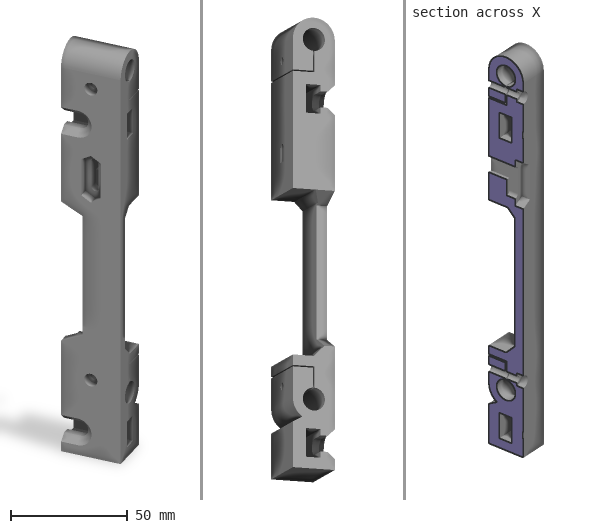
import cadquery as cq
import math

WIDTH = 28.0
DEPTH = 19.0
HEIGHT = 196.84
MID_X = WIDTH / 2
MID_Y = DEPTH / 2
EYE_RADIUS = DEPTH / 2

BORE_DIAMETER = 10.0
UPPER_BORE_Z = HEIGHT - EYE_RADIUS
BORE_SPACING = 157.0
LOWER_BORE_Z = UPPER_BORE_Z - BORE_SPACING
SLIT_WIDTH = 0.6
SLIT_OFFSET = 14.0
SCREW_OFFSET = 7.5
SCREW_DIAMETER = 3.4
HEAD_DIAMETER = 6.1
HEAD_DEPTH = 3.5

RELIEF_ANGLE = math.radians(57)
RELIEF_BOTTOM_Z = 20.0

WEB_THICKNESS = DEPTH / 4
LOWER_CHAMFER = MID_Y - WEB_THICKNESS
UPPER_CHAMFER = 3.9
BACK_CUT_BOTTOM_Z = 49.2
BACK_CUT_TOP_Z = 121.84
SIDE_CUT_DEPTH = 10.0
SIDE_CUT_BOTTOM_Z = BACK_CUT_BOTTOM_Z + LOWER_CHAMFER
SIDE_CUT_TOP_Z = BACK_CUT_TOP_Z
SIDE_CUT_RISE = 4.75

MOUNT_LOWER_Z = 11.2
MOUNT_SPACING = 150.2
MOUNT_X = 7.8
MOUNT_SLOT_WIDTH = 7.0
MOUNT_FLARE_WIDTH = 13.0
MOUNT_FLARE_DEPTH = 3.25
CHANNEL_FRONT_Y = 6.4
CHANNEL_BACK_Y = 13.0
CHANNEL_HEIGHT = 12.5

NUT_WIDTH = 9.0
NUT_CORNER_RADIUS = NUT_WIDTH / math.sqrt(3)
NUT_CENTER_Z = 135.84
NUT_TRAVEL = 12.4
NUT_UPPER_Z = NUT_CENTER_Z + NUT_TRAVEL / 2
NUT_LOWER_Z = NUT_CENTER_Z - NUT_TRAVEL / 2
NUT_DEPTH = 4.4
ADJUST_WIDTH = 3.4
ADJUST_DEPTH = 9.0


def box(x_range, y_range, z_range):
    size = [high - low for low, high in (x_range, y_range, z_range)]
    corner = (x_range[0], y_range[0], z_range[0])
    return cq.Workplane("XY").box(*size, centered=False).translate(corner)


def cylinder_along_y(x, z, diameter, depth):
    """Cylinder entering the part from the front face."""
    return cq.Workplane("XZ").center(x, z).circle(diameter / 2).extrude(-depth)


def body():
    """Side outline in YZ: round eye on top, relief groove and waist on the back."""
    relief_y = MID_Y + EYE_RADIUS * math.cos(RELIEF_ANGLE)
    relief_z = LOWER_BORE_Z - EYE_RADIUS * math.sin(RELIEF_ANGLE)
    relief_mid_y = MID_Y + EYE_RADIUS * math.cos(RELIEF_ANGLE / 2)
    relief_mid_z = LOWER_BORE_Z - EYE_RADIUS * math.sin(RELIEF_ANGLE / 2)
    return (
        cq.Workplane("YZ")
        .moveTo(0, 0)
        .lineTo(DEPTH, 0)
        .lineTo(DEPTH, RELIEF_BOTTOM_Z)
        .lineTo(relief_y, relief_z)
        .threePointArc((relief_mid_y, relief_mid_z), (DEPTH, LOWER_BORE_Z))
        .lineTo(DEPTH, BACK_CUT_BOTTOM_Z)
        .lineTo(WEB_THICKNESS + LOWER_CHAMFER, BACK_CUT_BOTTOM_Z)
        .lineTo(WEB_THICKNESS, BACK_CUT_BOTTOM_Z + LOWER_CHAMFER)
        .lineTo(WEB_THICKNESS, BACK_CUT_TOP_Z - UPPER_CHAMFER)
        .lineTo(WEB_THICKNESS + UPPER_CHAMFER, BACK_CUT_TOP_Z)
        .lineTo(DEPTH, BACK_CUT_TOP_Z)
        .lineTo(DEPTH, UPPER_BORE_Z)
        .threePointArc((MID_Y, HEIGHT), (0, UPPER_BORE_Z))
        .close()
        .extrude(WIDTH)
    )


def side_cut():
    """Trapezoidal notch in the left side of the waist."""
    return (
        cq.Workplane("XZ")
        .moveTo(0, SIDE_CUT_BOTTOM_Z)
        .lineTo(SIDE_CUT_DEPTH, SIDE_CUT_BOTTOM_Z + SIDE_CUT_RISE)
        .lineTo(SIDE_CUT_DEPTH, SIDE_CUT_TOP_Z - SIDE_CUT_RISE)
        .lineTo(0, SIDE_CUT_TOP_Z)
        .close()
        .extrude(-DEPTH)
    )


def rod_clamp(bore_z, direction):
    """Bore along X, L-shaped slit to the back and clamp screw hole; direction is +1 up, -1 down."""
    slit_z = bore_z + direction * SLIT_OFFSET
    screw_z = bore_z + direction * SCREW_OFFSET
    half_slit = SLIT_WIDTH / 2
    slit_end_z = slit_z + direction * half_slit
    full_x = (0, WIDTH)
    bore = cq.Workplane("YZ").center(MID_Y, bore_z).circle(BORE_DIAMETER / 2).extrude(WIDTH)
    upright = box(full_x, (MID_Y - half_slit, MID_Y + half_slit), sorted((bore_z, slit_end_z)))
    level = box(full_x, (MID_Y, DEPTH), (slit_z - half_slit, slit_z + half_slit))
    screw = cylinder_along_y(MID_X, screw_z, SCREW_DIAMETER, DEPTH)
    head = cylinder_along_y(MID_X, screw_z, HEAD_DIAMETER, HEAD_DEPTH)
    return bore.union(upright).union(level).union(screw).union(head)


def mounting_slot(center_z):
    """Countersunk slot running in from the left face, over a rectangular channel."""
    slot_radius = MOUNT_SLOT_WIDTH / 2
    flare_radius = MOUNT_FLARE_WIDTH / 2
    half_profile = [
        (0, 0),
        (flare_radius, 0),
        (slot_radius, MOUNT_FLARE_DEPTH),
        (slot_radius, CHANNEL_FRONT_Y),
        (0, CHANNEL_FRONT_Y),
    ]
    end = cq.Workplane("XY").polyline(half_profile).close().revolve(360, (0, 0), (0, 1))
    end = end.translate((MOUNT_X, 0, center_z))
    straight_half = cq.Workplane("ZY").polyline(half_profile).close().extrude(-MOUNT_X)
    straight = straight_half.union(straight_half.mirror("XY")).translate((0, 0, center_z))
    half_channel = CHANNEL_HEIGHT / 2
    channel = box(
        (0, WIDTH),
        (CHANNEL_FRONT_Y, CHANNEL_BACK_Y),
        (center_z - half_channel, center_z + half_channel),
    )
    return end.union(straight).union(channel)


def nut_pocket():
    """Long hexagonal pocket, with a narrower slot that breaks through only in its upper half."""
    half_width = NUT_WIDTH / 2
    half_corner = NUT_CORNER_RADIUS / 2
    pocket = (
        cq.Workplane("XZ")
        .moveTo(MID_X - half_width, NUT_LOWER_Z - half_corner)
        .lineTo(MID_X, NUT_LOWER_Z - NUT_CORNER_RADIUS)
        .lineTo(MID_X + half_width, NUT_LOWER_Z - half_corner)
        .lineTo(MID_X + half_width, NUT_UPPER_Z + half_corner)
        .lineTo(MID_X, NUT_UPPER_Z + NUT_CORNER_RADIUS)
        .lineTo(MID_X - half_width, NUT_UPPER_Z + half_corner)
        .close()
        .extrude(-NUT_DEPTH)
    )
    slot = (
        cq.Workplane("XZ")
        .center(MID_X, NUT_CENTER_Z)
        .slot2D(NUT_TRAVEL + ADJUST_WIDTH, ADJUST_WIDTH, 90)
        .extrude(-DEPTH)
    )
    stop = box((0, WIDTH), (ADJUST_DEPTH, DEPTH), (BACK_CUT_TOP_Z, NUT_CENTER_Z))
    return pocket.union(slot.cut(stop))


result = body().cut(side_cut())
result = result.cut(rod_clamp(UPPER_BORE_Z, -1)).cut(rod_clamp(LOWER_BORE_Z, 1))
for mount_z in (MOUNT_LOWER_Z, MOUNT_LOWER_Z + MOUNT_SPACING):
    result = result.cut(mounting_slot(mount_z))
result = result.cut(nut_pocket())